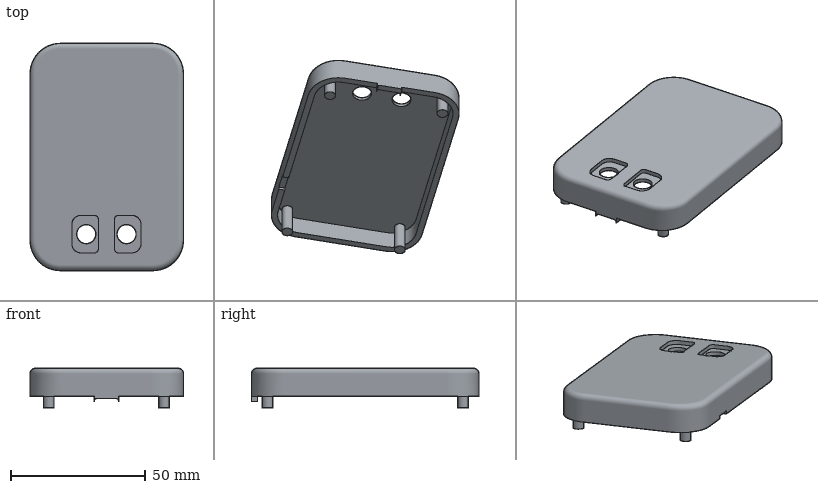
import cadquery as cq

body_width = 57.2
body_length = 84.7
body_height = 10.5
corner_radius = 11.5
top_edge_radius = 2.1
wall = 2.3
top_thickness = 2.9

feature_center_x = -0.12

pin_diameter = 4.0
pin_drop = 4.3
pin_x = 21.45
pin_y = 36.4

recess_inner_x = 3.0
recess_width = 9.9
recess_length = 14.0
recess_depth = 1.5
recess_center_y = -28.7
recess_outer_radius = 3.5
recess_inner_radius = 1.5
hole_diameter = 7.0
hole_x = 7.5

tab_width = 9.2
tab_drop = 2.0
tab_web = 0.85
tab_prong = 0.1
tab_relief_radius = 0.9

notch_length = 6.5
notch_height = 1.1
notch_center_y = 16.2

ceiling_z = body_height - top_thickness
front_y = -body_length / 2
left_x = -body_width / 2


def make_shell():
    """Rounded box with a filleted top edge and a cavity open at the rim."""
    outer = (
        cq.Workplane("XY")
        .rect(body_width, body_length)
        .extrude(body_height)
        .edges("|Z")
        .fillet(corner_radius)
        .faces(">Z")
        .edges()
        .fillet(top_edge_radius)
    )
    cavity = (
        cq.Workplane("XY")
        .rect(body_width - 2 * wall, body_length - 2 * wall)
        .extrude(ceiling_z)
        .edges("|Z")
        .fillet(corner_radius - wall)
    )
    return outer.cut(cavity)


def make_pins():
    """Four posts near the corners, rooted in the ceiling."""
    return (
        cq.Workplane("XY")
        .workplane(offset=-pin_drop)
        .center(feature_center_x, 0)
        .rect(2 * pin_x, 2 * pin_y, forConstruction=True)
        .vertices()
        .circle(pin_diameter / 2)
        .extrude(pin_drop + body_height - top_thickness / 2)
    )


def make_recess(side):
    """Recess and through hole on one side (+1 or -1) of the feature centreline."""
    center_x = feature_center_x + side * (recess_inner_x + recess_width / 2)
    outer_edges = ">X" if side > 0 else "<X"
    inner_edges = "<X" if side > 0 else ">X"
    pocket = (
        cq.Workplane("XY")
        .workplane(offset=body_height - recess_depth)
        .center(center_x, recess_center_y)
        .rect(recess_width, recess_length)
        .extrude(recess_depth)
        .edges("|Z and " + outer_edges)
        .fillet(recess_outer_radius)
        .edges("|Z and " + inner_edges)
        .fillet(recess_inner_radius)
    )
    hole = (
        cq.Workplane("XY")
        .center(feature_center_x + side * hole_x, recess_center_y)
        .circle(hole_diameter / 2)
        .extrude(body_height)
    )
    return pocket.union(hole)


def make_tab():
    """Tab flush with the front face, ending in a thin prong at each side."""
    center_y = front_y + wall / 2
    block = (
        cq.Workplane("XY")
        .center(feature_center_x, center_y)
        .rect(tab_width, wall)
        .extrude(-tab_drop)
    )
    relief = (
        cq.Workplane("XY")
        .workplane(offset=-tab_drop)
        .center(feature_center_x, center_y)
        .rect(tab_width - 2 * tab_prong, wall)
        .extrude(tab_drop - tab_web)
        .edges("|Y and >Z")
        .fillet(tab_relief_radius)
    )
    return block.cut(relief)


def make_notch():
    """Block that opens the rim of the left wall through its thickness."""
    return (
        cq.Workplane("XY")
        .center(left_x + wall / 2, notch_center_y)
        .rect(wall, notch_length)
        .extrude(notch_height)
    )


result = make_shell().union(make_pins()).union(make_tab()).cut(make_notch())
for side in (-1, 1):
    result = result.cut(make_recess(side))